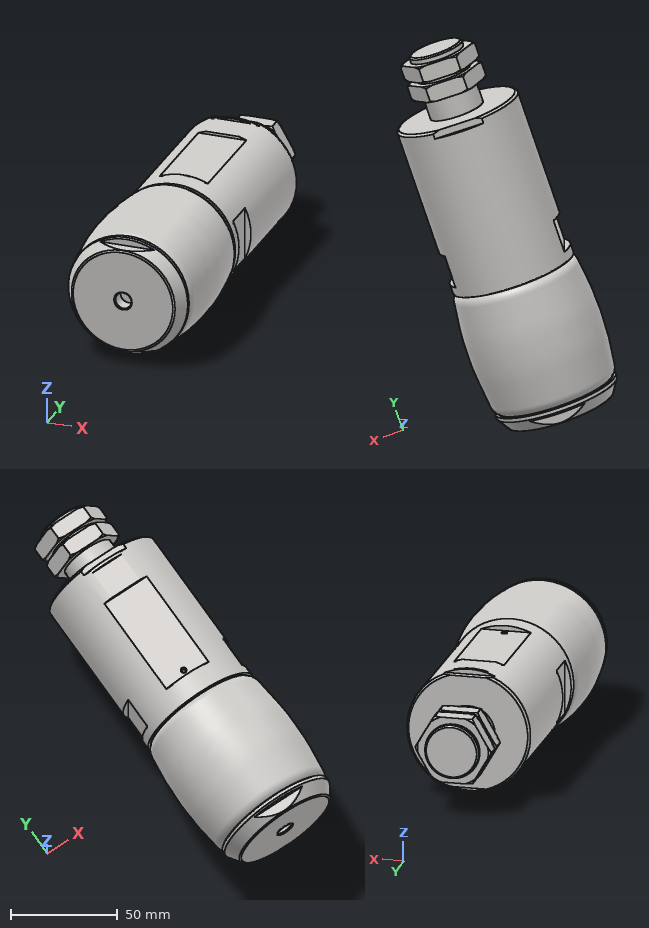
import cadquery as cq
import math

LENGTH = 185.0
BODY_DIAMETER = 60.0
BODY_RADIUS = BODY_DIAMETER / 2

CAP_LENGTH = 8.5
CAP_CONE_LENGTH = 6.7
CAP_FACE_DIAMETER = 50.0
CAP_CONE_END_DIAMETER = 52.0
CAP_EDGE_LENGTH = 0.4
CAP_FLAT_HEIGHT = 26.0
CAP_FLAT_LENGTH = 5.7
CAP_HOLE_DIAMETER = 8.0
CAP_HOLE_CHAMFER = 0.5
CAP_HOLE_DEPTH = 7.4

SLEEVE_LENGTH = 61.8
SLEEVE_DIAMETER = 66.0
SLEEVE_RADIUS = SLEEVE_DIAMETER / 2
SLEEVE_MIDDLE = CAP_LENGTH + SLEEVE_LENGTH / 2
BARREL_HALF_LENGTH = 26.5
BARREL_END_RADIUS = 30.9
SHOULDER_HALF_LENGTH = 28.7
SHOULDER_RADIUS = 30.2
SHOULDER_ARC_RADIUS = 5.5
ROUNDED_HALF_LENGTH = 30.5
NECK_RADIUS = 28.5

HOUSING_START = CAP_LENGTH + SLEEVE_LENGTH
HOUSING_END = 153.2
HOUSING_CHAMFER = 1.1
FLAT_WIDTH = 24.0
FLAT_HEIGHT = math.sqrt(BODY_RADIUS**2 - (FLAT_WIDTH / 2) ** 2)
REAR_FLAT_LENGTH = 3.5
LONG_FLAT_START = 81.2
LONG_FLAT_END = 132.6
SHORT_FLAT_END = 148.0
SHORT_FLAT_WIDTH = 16.3
SHORT_FLAT_HEIGHT = math.sqrt(BODY_RADIUS**2 - (SHORT_FLAT_WIDTH / 2) ** 2)
SIDE_FLAT_START = 75.1
SIDE_FLAT_END = 91.0
SIDE_FLAT_WIDTH = 26.0
SIDE_FLAT_OFFSET = math.sqrt(BODY_RADIUS**2 - (SIDE_FLAT_WIDTH / 2) ** 2)
PIN_HOLE_DIAMETER = 2.0
PIN_HOLE_CHAMFER = 0.4
PIN_HOLE_DEPTH = 1.8
PIN_HOLE_POINT_LENGTH = 0.5
PIN_HOLE_Y = 84.4

STEM_DIAMETER = 26.0
STEM_END_DIAMETER = 24.5
STEM_CHAMFER_LENGTH = 0.7

NUT_ACROSS_FLATS = 32.0
NUT_ACROSS_CORNERS = NUT_ACROSS_FLATS / math.cos(math.radians(30))
NUT_THICKNESS = 8.0
NUT_FACE_DIAMETER = 34.2
NUT_CHAMFER_ANGLE = 30.0
NUT_STARTS = (164.1, 174.0)


def revolve_about_y(profile):
    """Turn a closed profile, drawn as (radius, y), about the Y axis."""
    return profile.close().revolve(360, (0, 0, 0), (0, 1, 0))


def block(x_range, y_range, z_range):
    """Box between the given limits along each axis."""
    limits = (x_range, y_range, z_range)
    sizes = [high - low for low, high in limits]
    return cq.Workplane("XY").box(*sizes, centered=False).translate([low for low, high in limits])


def top_cutter(height, y_start, y_end):
    """Block that removes everything above a given height over a length of the body."""
    return block((-BODY_RADIUS, BODY_RADIUS), (y_start, y_end), (height, 2 * BODY_RADIUS))


def make_cap():
    """Conical end cap with two wrench flats and a blind centre hole."""
    cap = revolve_about_y(
        cq.Workplane("XY")
        .lineTo(CAP_FACE_DIAMETER / 2, 0)
        .lineTo(CAP_CONE_END_DIAMETER / 2, CAP_EDGE_LENGTH)
        .lineTo(BODY_RADIUS, CAP_CONE_LENGTH)
        .lineTo(BODY_RADIUS, CAP_LENGTH)
        .lineTo(0, CAP_LENGTH)
    )
    flat_cutter = top_cutter(CAP_FLAT_HEIGHT, 0, CAP_FLAT_LENGTH)
    cap = cap.cut(flat_cutter).cut(flat_cutter.mirror("XY"))

    hole_radius = CAP_HOLE_DIAMETER / 2
    hole = revolve_about_y(
        cq.Workplane("XY")
        .lineTo(hole_radius + CAP_HOLE_CHAMFER, 0)
        .lineTo(hole_radius, CAP_HOLE_CHAMFER)
        .lineTo(hole_radius, CAP_HOLE_DEPTH)
        .lineTo(0, CAP_HOLE_DEPTH)
    )
    return cap.cut(hole)


def make_sleeve():
    """Barrel-shaped sleeve with rounded shoulders and a short neck at each end."""
    half_length = SLEEVE_LENGTH / 2
    sleeve = revolve_about_y(
        cq.Workplane("XY")
        .moveTo(0, -half_length)
        .lineTo(NECK_RADIUS, -half_length)
        .lineTo(NECK_RADIUS, -ROUNDED_HALF_LENGTH)
        .radiusArc((SHOULDER_RADIUS, -SHOULDER_HALF_LENGTH), -SHOULDER_ARC_RADIUS)
        .radiusArc((BARREL_END_RADIUS, -BARREL_HALF_LENGTH), -SHOULDER_ARC_RADIUS)
        .threePointArc((SLEEVE_RADIUS, 0), (BARREL_END_RADIUS, BARREL_HALF_LENGTH))
        .radiusArc((SHOULDER_RADIUS, SHOULDER_HALF_LENGTH), -SHOULDER_ARC_RADIUS)
        .radiusArc((NECK_RADIUS, ROUNDED_HALF_LENGTH), -SHOULDER_ARC_RADIUS)
        .lineTo(NECK_RADIUS, half_length)
        .lineTo(0, half_length)
    )
    return sleeve.translate((0, SLEEVE_MIDDLE, 0))


def make_housing():
    """Cylindrical housing with its stem, wrench flats, label flats and pin hole."""
    stem_radius = STEM_DIAMETER / 2
    housing = revolve_about_y(
        cq.Workplane("XY")
        .moveTo(0, HOUSING_START)
        .lineTo(BODY_RADIUS, HOUSING_START)
        .lineTo(BODY_RADIUS, HOUSING_END - HOUSING_CHAMFER)
        .lineTo(BODY_RADIUS - HOUSING_CHAMFER, HOUSING_END)
        .lineTo(stem_radius, HOUSING_END)
        .lineTo(stem_radius, LENGTH - STEM_CHAMFER_LENGTH)
        .lineTo(STEM_END_DIAMETER / 2, LENGTH)
        .lineTo(0, LENGTH)
    )

    rear_cutter = top_cutter(FLAT_HEIGHT, HOUSING_END - REAR_FLAT_LENGTH, HOUSING_END)
    housing = housing.cut(rear_cutter).cut(rear_cutter.mirror("XY"))

    housing = housing.cut(top_cutter(FLAT_HEIGHT, LONG_FLAT_START, LONG_FLAT_END))
    housing = housing.cut(top_cutter(SHORT_FLAT_HEIGHT, LONG_FLAT_END, SHORT_FLAT_END))

    side_cutter = block(
        (SIDE_FLAT_OFFSET, 2 * BODY_RADIUS),
        (SIDE_FLAT_START, SIDE_FLAT_END),
        (-BODY_RADIUS, BODY_RADIUS),
    )
    housing = housing.cut(side_cutter).cut(side_cutter.mirror("YZ"))

    pin_hole_radius = PIN_HOLE_DIAMETER / 2
    pin_hole = (
        cq.Workplane("XZ")
        .lineTo(pin_hole_radius + PIN_HOLE_CHAMFER, 0)
        .lineTo(pin_hole_radius, -PIN_HOLE_CHAMFER)
        .lineTo(pin_hole_radius, -PIN_HOLE_DEPTH)
        .lineTo(0, -PIN_HOLE_DEPTH - PIN_HOLE_POINT_LENGTH)
        .close()
        .revolve(360, (0, 0, 0), (0, 1, 0))
        .translate((0, PIN_HOLE_Y, FLAT_HEIGHT))
    )
    return housing.cut(pin_hole)


def make_nut(y_start):
    """Hexagon nut, corners chamfered on both faces, bored to fit the stem."""
    hexagon = (
        cq.Workplane("XZ")
        .polygon(6, NUT_ACROSS_CORNERS)
        .circle(STEM_DIAMETER / 2)
        .extrude(-NUT_THICKNESS)
    )
    face_radius = NUT_FACE_DIAMETER / 2
    corner_radius = NUT_ACROSS_CORNERS / 2
    chamfer = (corner_radius - face_radius) * math.tan(math.radians(NUT_CHAMFER_ANGLE))
    envelope = revolve_about_y(
        cq.Workplane("XY")
        .lineTo(face_radius, 0)
        .lineTo(corner_radius, chamfer)
        .lineTo(corner_radius, NUT_THICKNESS - chamfer)
        .lineTo(face_radius, NUT_THICKNESS)
        .lineTo(0, NUT_THICKNESS)
    )
    return hexagon.intersect(envelope).translate((0, y_start, 0))


cap = make_cap()
sleeve = make_sleeve()
housing = make_housing()
nuts = [make_nut(y_start) for y_start in NUT_STARTS]

bodies = [cap, sleeve, housing, *nuts]
result = cq.Compound.makeCompound([body.solids().val() for body in bodies])